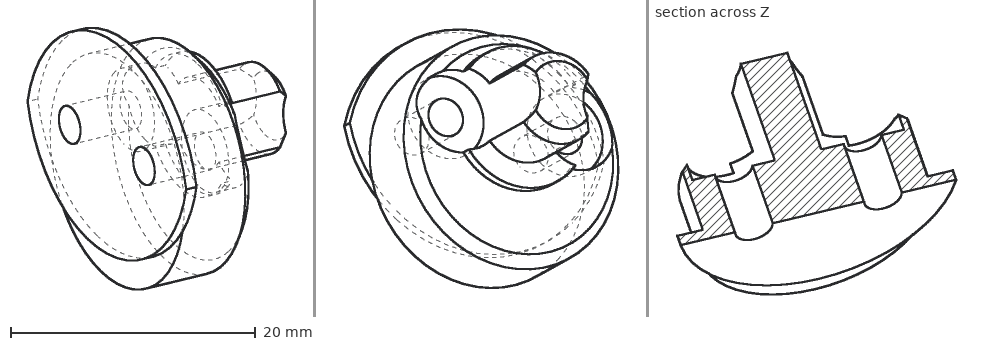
import cadquery as cq

plate_width = 23.47
plate_height = 19.0
plate_thickness = 1.0

body_radius = 9.9
body_drop = 2.49
body_back = 8.03
body_chamfer = 1.0

collar_radius = 6.0
collar_back = 9.01
pin_radius = 3.87
pin_back = 16.0
pin_chamfer = 0.99

hole_offset = 5.5
hole_radius = 1.6
counterbore_radius = 3.5
counterbore_floor = 6.0


def cylinder(radius, start, end, x=0, z=0):
    """Cylinder along +Y between two Y positions."""
    return cq.Workplane(cq.Solid.makeCylinder(
        radius, end - start, cq.Vector(x, start, z), cq.Vector(0, 1, 0)))


def make_plate():
    half_width = plate_width / 2
    half_height = plate_height / 2
    return (
        cq.Workplane("XZ")
        .moveTo(-half_width, 0)
        .threePointArc((0, half_height), (half_width, 0))
        .threePointArc((0, -half_height), (-half_width, 0))
        .close()
        .extrude(-plate_thickness)
    )


def make_body():
    body = cylinder(body_radius, plate_thickness, body_back, z=-body_drop)
    return body.faces(">Y").chamfer(body_chamfer)


def make_pin():
    pin = cylinder(pin_radius, collar_back, pin_back)
    return pin.faces(">Y").chamfer(pin_chamfer)


result = (
    make_plate()
    .union(make_body())
    .union(cylinder(collar_radius, body_back, collar_back))
    .union(make_pin())
)

for side in (-1, 1):
    hole_x = side * hole_offset
    result = result.cut(cylinder(hole_radius, 0, body_back, hole_x))
    result = result.cut(cylinder(counterbore_radius, counterbore_floor, pin_back, hole_x))